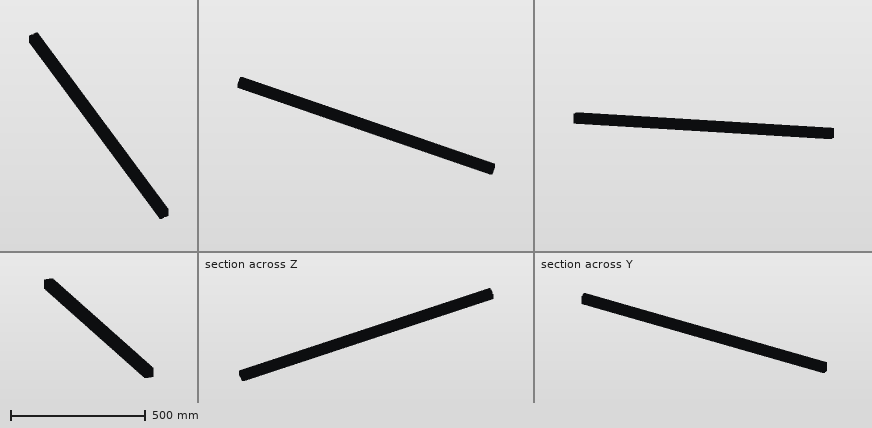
import cadquery as cq

LENGTH = 1000.0
SIDE = 30.0
CORNER_RADIUS = 1.5

SLOT_OPENING = 7.6
MOUTH_CHAMFER_WIDTH = 0.6
MOUTH_CHAMFER_DEPTH = 0.6
LIP_THICKNESS = 1.0
SLOT_INNER_WIDTH = 19.8
SLOT_WALL_HEIGHT = 2.0
SLOT_FLOOR_WIDTH = 6.4
SLOT_DEPTH = 8.3

GROOVE_WIDTH = 2.0
GROOVE_DEPTH = 0.4

BORE_DIAMETER = 9.8


def make_bar():
    """Square bar with rounded long edges and a round bore along its axis."""
    bar = cq.Workplane("YZ").rect(SIDE, SIDE).extrude(LENGTH)
    bar = bar.edges("|X").fillet(CORNER_RADIUS)
    bore = cq.Workplane("YZ").circle(BORE_DIAMETER / 2).extrude(LENGTH)
    return bar.cut(bore)


def make_slot():
    """T-slot cutter for the +Z side: chamfered mouth, sloping inner walls, grooved floor."""
    face = SIDE / 2
    lip_bottom = face - LIP_THICKNESS
    wall_bottom = lip_bottom - SLOT_WALL_HEIGHT
    floor = face - SLOT_DEPTH
    right_half = [
        (SLOT_OPENING / 2 + MOUTH_CHAMFER_WIDTH, face),
        (SLOT_OPENING / 2, face - MOUTH_CHAMFER_DEPTH),
        (SLOT_OPENING / 2, lip_bottom),
        (SLOT_INNER_WIDTH / 2, lip_bottom),
        (SLOT_INNER_WIDTH / 2, wall_bottom),
        (SLOT_FLOOR_WIDTH / 2, floor),
        (GROOVE_WIDTH / 2, floor),
    ]
    groove_bottom = (0, floor - GROOVE_DEPTH)
    left_half = [(-y, z) for y, z in reversed(right_half)]
    outline = right_half + [groove_bottom] + left_half
    return cq.Workplane("YZ").polyline(outline).close().extrude(LENGTH)


def cut_slots(bar):
    """Cut the same slot into each of the four long sides."""
    slot = make_slot()
    for side in range(4):
        bar = bar.cut(slot.rotate((0, 0, 0), (1, 0, 0), 90 * side))
    return bar


result = cut_slots(make_bar())